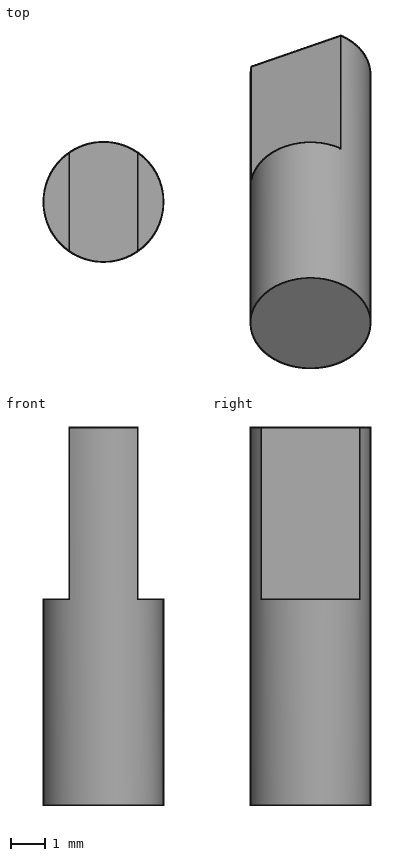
import cadquery as cq

PIN_DIAMETER = 3.5
PIN_LENGTH = 11.0
TANG_THICKNESS = 2.0
TANG_LENGTH = 5.0

SHANK_LENGTH = PIN_LENGTH - TANG_LENGTH


def make_pin():
    """Full-length round pin standing on the XY plane."""
    return cq.Workplane("XY").circle(PIN_DIAMETER / 2).extrude(PIN_LENGTH)


def make_flat_cutter(side):
    """Block that removes the pin beyond one tang flat; side is -1 or +1 along X."""
    offset = side * (TANG_THICKNESS + PIN_DIAMETER) / 2
    return (
        cq.Workplane("XY", origin=(offset, 0, SHANK_LENGTH))
        .box(PIN_DIAMETER, PIN_DIAMETER, TANG_LENGTH, centered=(True, True, False))
    )


result = make_pin()
for flat_side in (-1, 1):
    result = result.cut(make_flat_cutter(flat_side))